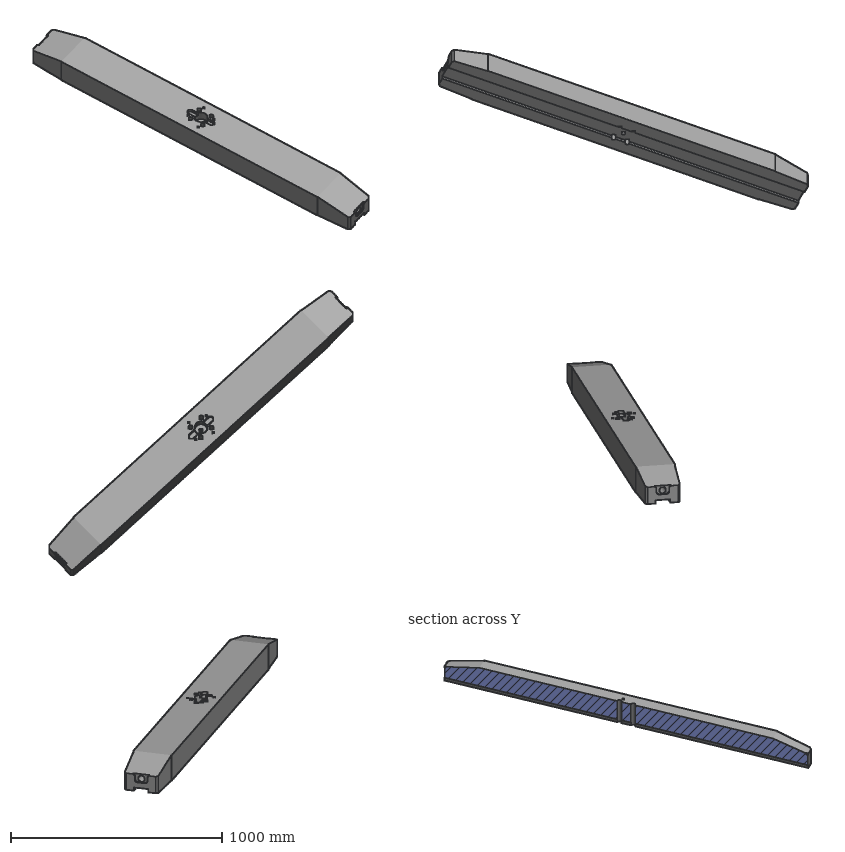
import cadquery as cq

length = 1850.0
width = 190.0
height = 130.0

body_length = 1491.0
cap_root_width = 187.0
tip_width = 166.0
tip_height = 85.0
tip_corner_chamfer = 10.0

bore_diameter = 31.0
bore_height = 63.0
channel_width = 72.0
channel_depth = 17.0

recess_width = 63.0
recess_mouth_width = 78.0
recess_floor_height = 45.0
recess_flare_height = 7.0
recess_depth = 7.0
recess_corner_radius = 15.0

pocket_diameter = 61.0
pocket_depth = 46.0
center_hole_diameter = 18.0
slot_length = 152.0
slot_width = 28.0
slot_depth = 15.0
bolt_hole_diameter = 20.0
bolt_spacing = 70.0
pin_hole_diameter = 10.0
pin_circle_radius = 63.0
pin_angle = 23.0
pin_count = 4
pin_hole_depth = 18.0

half_length = length / 2


def make_body():
    return cq.Workplane("XY").box(body_length, width, height, centered=(True, True, False))


def make_end_cap():
    """Cap at the +X end, narrowing and sloping down towards its tip."""
    root = body_length / 2
    plan = (
        cq.Workplane("XY")
        .polyline([
            (root, -cap_root_width / 2),
            (half_length, -tip_width / 2),
            (half_length, tip_width / 2),
            (root, cap_root_width / 2),
        ])
        .close()
        .extrude(height)
        .edges("|Z and >X")
        .chamfer(tip_corner_chamfer)
    )
    side = (
        cq.Workplane("XZ")
        .polyline([(root, 0), (half_length, 0), (half_length, tip_height), (root, height)])
        .close()
        .extrude(width / 2, both=True)
    )
    return plan.intersect(side)


def make_end_recess():
    """U-shaped recess in the +X end face, open and flared at the top."""
    flare_start = tip_height - recess_flare_height
    straight_height = height - recess_floor_height
    trough = (
        cq.Workplane("XY", origin=(half_length - recess_depth / 2, 0, recess_floor_height))
        .box(recess_depth, recess_width, straight_height, centered=(True, True, False))
        .edges("|X and <Z")
        .fillet(recess_corner_radius)
    )
    flare = (
        cq.Workplane("YZ", origin=(half_length - recess_depth, 0, 0))
        .polyline([
            (-recess_width / 2, flare_start),
            (recess_width / 2, flare_start),
            (recess_mouth_width / 2, tip_height),
            (recess_mouth_width / 2, height),
            (-recess_mouth_width / 2, height),
            (-recess_mouth_width / 2, tip_height),
        ])
        .close()
        .extrude(recess_depth)
    )
    return trough.union(flare)


def make_bore():
    return (
        cq.Workplane("YZ", origin=(-half_length, 0, bore_height))
        .circle(bore_diameter / 2)
        .extrude(length)
    )


def make_channel():
    return cq.Workplane("XY").box(length, channel_width, channel_depth, centered=(True, True, False))


def cut_mounting_pattern(beam):
    top = cq.Workplane("XY", origin=(0, 0, height))
    pocket = top.circle(pocket_diameter / 2).extrude(-pocket_depth)
    slot = top.slot2D(slot_length, slot_width).extrude(-slot_depth)
    center_hole = top.circle(center_hole_diameter / 2).extrude(-height)
    bolt_holes = (
        top.rect(bolt_spacing, bolt_spacing, forConstruction=True)
        .vertices()
        .circle(bolt_hole_diameter / 2)
        .extrude(-height)
    )
    pin_holes = (
        top.polarArray(pin_circle_radius, pin_angle, 360, pin_count)
        .circle(pin_hole_diameter / 2)
        .extrude(-pin_hole_depth)
    )
    for cutter in (pocket, slot, center_hole, bolt_holes, pin_holes):
        beam = beam.cut(cutter)
    return beam


cap = make_end_cap()
recess = make_end_recess()
beam = make_body().union(cap).union(cap.mirror("YZ"))
beam = beam.cut(recess).cut(recess.mirror("YZ"))
beam = beam.cut(make_bore()).cut(make_channel())
result = cut_mounting_pattern(beam)